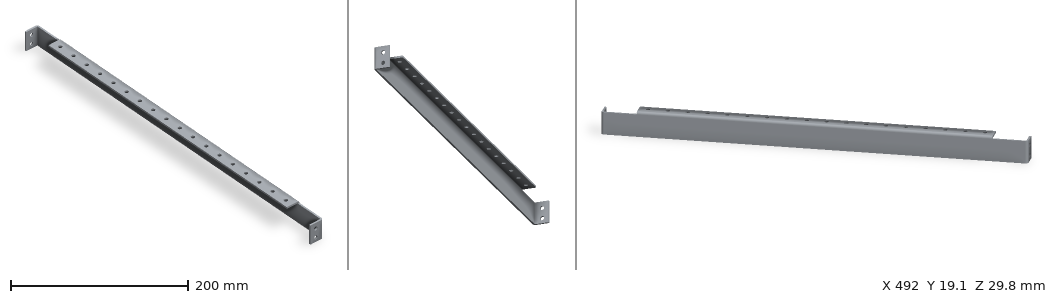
import cadquery as cq

sheet = 2.34
bend_inside = 0.79
bend_outside = bend_inside + sheet

length = 491.97
depth = 19.05
overall_height = 29.77
wall_height = overall_height - bend_outside

shelf_length = 410.3

shelf_hole_diameter = 5.0
shelf_hole_count = 18
shelf_hole_pitch = 22.86
tab_hole_diameter = 5.0
tab_hole_spacing = 12.7
lower_tab_hole_height = 6.1
hole_setback = 7.94

tab_hole_heights = (lower_tab_hole_height, lower_tab_hole_height + tab_hole_spacing)
front_y = -depth
hole_y = front_y + hole_setback


def make_channel():
    """Back wall and both end tabs, with rounded bends."""
    outer = (
        cq.Workplane("XY")
        .box(length, depth, wall_height, centered=(True, False, False))
        .translate((0, front_y, 0))
        .edges("|Z and >Y")
        .fillet(bend_outside)
    )
    inner = (
        cq.Workplane("XY")
        .box(length - 2 * sheet, depth - sheet, wall_height, centered=(True, False, False))
        .translate((0, front_y, 0))
        .edges("|Z and >Y")
        .fillet(bend_inside)
    )
    return outer.cut(inner)


def make_shelf():
    """L-shaped strip: a rise of the back wall bent forward into the shelf."""
    outer = (
        cq.Workplane("XY")
        .box(shelf_length, depth, overall_height, centered=(True, False, False))
        .translate((0, front_y, 0))
        .edges("|X and >Y and >Z")
        .fillet(bend_outside)
    )
    inner = (
        cq.Workplane("XY")
        .box(shelf_length, depth - sheet, overall_height - sheet, centered=(True, False, False))
        .translate((0, front_y, 0))
        .edges("|X and >Y and >Z")
        .fillet(bend_inside)
    )
    return outer.cut(inner)


def make_shelf_holes():
    """Row of vertical through holes along the shelf."""
    return (
        cq.Workplane("XY", origin=(0, hole_y, wall_height))
        .rarray(shelf_hole_pitch, 1, shelf_hole_count, 1)
        .circle(shelf_hole_diameter / 2)
        .extrude(overall_height - wall_height)
    )


def make_tab_holes():
    """Holes running along X through both end tabs."""
    return (
        cq.Workplane("YZ", origin=(-length / 2, 0, 0))
        .pushPoints([(hole_y, height) for height in tab_hole_heights])
        .circle(tab_hole_diameter / 2)
        .extrude(length)
    )


bracket = make_channel().union(make_shelf())
result = bracket.cut(make_shelf_holes()).cut(make_tab_holes())